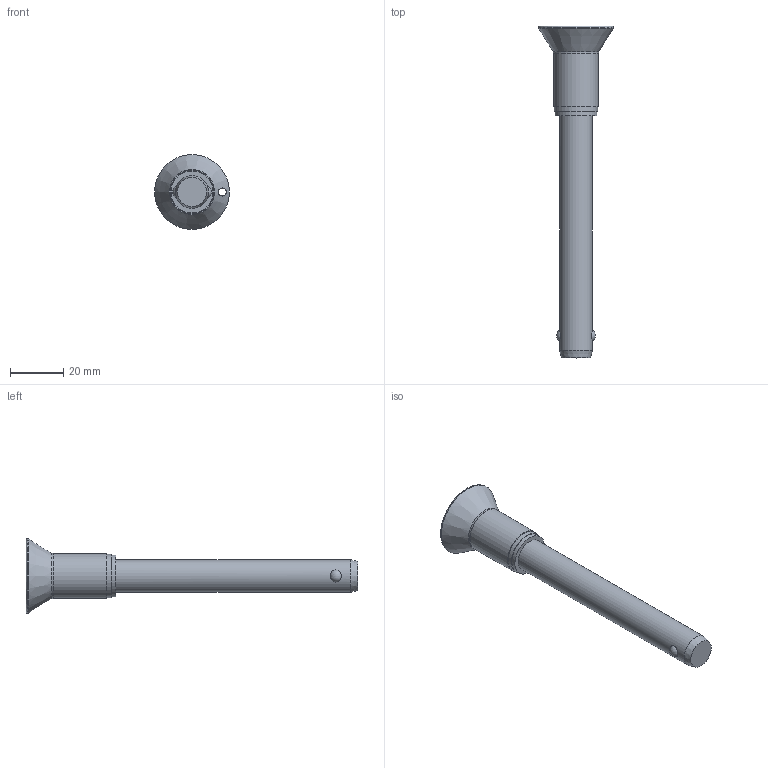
import cadquery as cq


shank_radius = 6.15
shank_length = 90.6
tip_radius = 5.45
tip_taper_length = 2.8

collar_radius = 8.4
collar_step_radius = 8.1
shoulder_radius = 7.85
shoulder_length = 1.6
collar_step_length = 1.7
collar_length = 19.9
neck_radius = 8.48
neck_length = 0.7

head_radius = 14.0
rim_thickness = 0.8
rim_fillet_radius = 0.7
total_length = 124.1

lanyard_hole_diameter = 3.0
lanyard_hole_offset = 11.3

ball_radius = 2.4
ball_reach = 7.3
ball_to_tip = 8.3

tip_y = -shank_length
taper_start_y = tip_y + tip_taper_length
collar_step_y = shoulder_length
collar_start_y = collar_step_y + collar_step_length
collar_end_y = collar_start_y + collar_length
neck_end_y = collar_end_y + neck_length
head_top_y = total_length - shank_length
rim_start_y = head_top_y - rim_thickness


def make_body():
    """Shank, collar and head revolved about the Y axis, with the top edge of the head rounded."""
    profile = [
        (0, tip_y),
        (tip_radius, tip_y),
        (shank_radius, taper_start_y),
        (shank_radius, 0),
        (shoulder_radius, 0),
        (shoulder_radius, collar_step_y),
        (collar_step_radius, collar_step_y),
        (collar_step_radius, collar_start_y),
        (collar_radius, collar_start_y),
        (collar_radius, collar_end_y),
        (neck_radius, collar_end_y),
        (neck_radius, neck_end_y),
        (head_radius, rim_start_y),
        (head_radius, head_top_y),
        (0, head_top_y),
    ]
    body = cq.Workplane("XY").polyline(profile).close().revolve(360, (0, 0), (0, 1))
    return body.faces(">Y").edges().fillet(rim_fillet_radius)


def make_locking_ball(side):
    """Ball partly sunk in the shank; side is -1 or +1 along X."""
    center_x = side * (ball_reach - ball_radius)
    return cq.Workplane("XY").sphere(ball_radius).translate((center_x, tip_y + ball_to_tip, 0))


def make_lanyard_hole():
    """Cutter parallel to the axis, outside the collar and through the head flange."""
    return (
        cq.Workplane("XZ", origin=(lanyard_hole_offset, head_top_y, 0))
        .circle(lanyard_hole_diameter / 2)
        .extrude(head_top_y)
    )


result = make_body()
for side in (-1, 1):
    result = result.union(make_locking_ball(side))
result = result.cut(make_lanyard_hole())